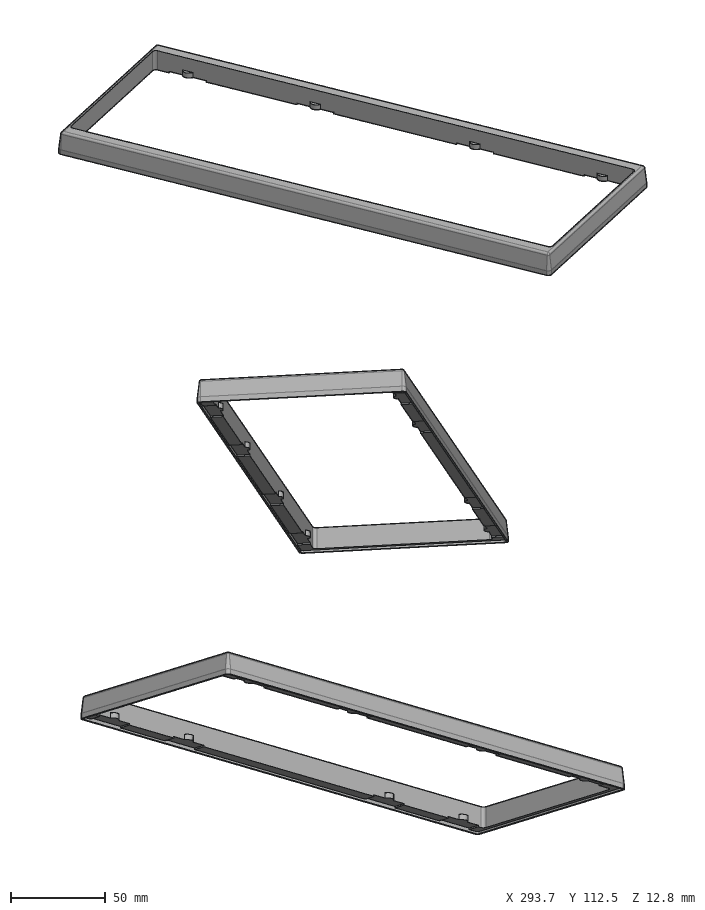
import cadquery as cq
import math

LENGTH = 293.7
WIDTH = 112.5
HEIGHT = 12.8

FOOT_HEIGHT = 2.8
DRAFT_INSET = 1.2
OUTER_CORNER_RADIUS = 2.0
TOP_EDGE_RADIUS = 1.4

LONG_RAIL_WIDTH = 7.9
SHORT_RAIL_WIDTH = 3.3
WINDOW_CORNER_RADIUS = 2.0

LIP_THICKNESS = 1.0
REBATE_HEIGHT = 1.2

BOSS_RADIUS = 3.5
BOSS_HEIGHT = 3.0
BOSS_OVERHANG = 2.0
RELIEF_LENGTH = 22.0
RELIEF_HEIGHT = 2.0
REAR_BOSS_X = (47.6, 123.7)
FRONT_BOSS_X = (73.9, 128.7)

WINDOW_LENGTH = LENGTH - 2 * SHORT_RAIL_WIDTH
WINDOW_WIDTH = WIDTH - 2 * LONG_RAIL_WIDTH
RELIEF_DEPTH = LONG_RAIL_WIDTH - LIP_THICKNESS
BOSS_Y = WINDOW_WIDTH / 2 - BOSS_OVERHANG + BOSS_RADIUS


def rounded_rectangle(length, width, radius):
    return cq.Sketch().rect(length, width).vertices().fillet(radius)


def outer_body():
    """Solid block with an upright foot, drafted sides and a rounded top edge."""
    footprint = rounded_rectangle(LENGTH, WIDTH, OUTER_CORNER_RADIUS)
    drafted_height = HEIGHT - FOOT_HEIGHT
    draft_angle = math.degrees(math.atan2(DRAFT_INSET, drafted_height))
    foot = cq.Workplane("XY").placeSketch(footprint).extrude(FOOT_HEIGHT)
    upper = (
        cq.Workplane("XY", origin=(0, 0, FOOT_HEIGHT))
        .placeSketch(footprint)
        .extrude(drafted_height, taper=draft_angle)
        .faces(">Z")
        .edges()
        .fillet(TOP_EDGE_RADIUS)
    )
    return foot.union(upper)


def window():
    """Through opening with rounded corners."""
    opening = rounded_rectangle(WINDOW_LENGTH, WINDOW_WIDTH, WINDOW_CORNER_RADIUS)
    return cq.Workplane("XY").placeSketch(opening).extrude(HEIGHT)


def rebate():
    """Step around the underside that leaves only the outer lip at full height."""
    recess = rounded_rectangle(
        LENGTH - 2 * LIP_THICKNESS,
        WIDTH - 2 * LIP_THICKNESS,
        OUTER_CORNER_RADIUS - LIP_THICKNESS,
    )
    return cq.Workplane("XY").placeSketch(recess).extrude(REBATE_HEIGHT)


def relief(x, side):
    """Stretch of deeper rebate under a long rail, open to the window."""
    centre_y = side * (WINDOW_WIDTH + RELIEF_DEPTH) / 2
    return (
        cq.Workplane("XY")
        .center(x, centre_y)
        .rect(RELIEF_LENGTH, RELIEF_DEPTH)
        .extrude(RELIEF_HEIGHT)
    )


def boss(x, side):
    """Round boss hanging over the window edge, its underside level with the relief."""
    return (
        cq.Workplane("XY", origin=(x, side * BOSS_Y, RELIEF_HEIGHT))
        .circle(BOSS_RADIUS)
        .extrude(BOSS_HEIGHT)
    )


result = outer_body().cut(window()).cut(rebate())
for rail_side, offsets in ((1, REAR_BOSS_X), (-1, FRONT_BOSS_X)):
    for offset in offsets:
        for boss_x in (-offset, offset):
            result = result.cut(relief(boss_x, rail_side))
            result = result.union(boss(boss_x, rail_side))